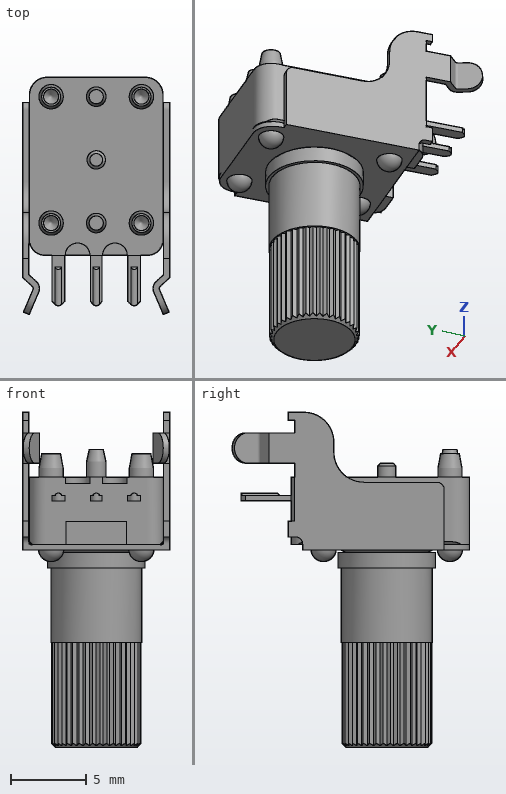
import cadquery as cq
import math


BODY_WIDTH = 8.9
BODY_REAR = 5.5
BODY_FRONT = -6.35
BODY_LENGTH = BODY_REAR - BODY_FRONT
BODY_MID_Y = (BODY_REAR + BODY_FRONT) / 2
BODY_TOP = 4.85
BODY_REAR_CORNER_R = 1.2
BODY_FRONT_CORNER_R = 1.05
BODY_BOTTOM_CHAMFER = 0.2

BRACKET_WIDTH = 9.8
SHEET = 0.43
BASE_THICKNESS = 0.36
BASE_FRONT = -5.6
BASE_REAR_CORNER_R = 1.4
BEND_R = 0.2
WALL_INNER_X = BRACKET_WIDTH / 2 - SHEET
WALL_REAR = 3.82
WALL_FRONT = -6.12
WALL_SHOULDER_Z = 4.51
WALL_CORNER_R = 0.5
NECK_Y = -3.51
NECK_FILLET_R = 2.0
CREST_R = 2.0
BRACKET_TOP = 9.17
LIP_Y = -6.55
TOP_LIP_HEIGHT = 0.55
FOOT_LIP_TOP = 1.92
FOOT_LIP_BOTTOM = 0.87
RELIEF_R = 0.45

LUG_BOTTOM = 5.77
LUG_TOP = 7.8
LUG_BEND_Y = -7.82
LUG_KNEE_X = 4.16
LUG_KNEE_Y = -8.5
LUG_TIP_X = 4.85
LUG_TIP_Y = -10.12
LUG_KNEE_R = 0.2
LUG_END_R = 1.0

WINDOW_WIDTH = 4.0
WINDOW_TOP = 1.9
WINDOW_DEPTH = 1.5
SCALLOP_X = 1.24
SCALLOP_R = 0.82
SCALLOP_DEPTH = 0.42

TERMINAL_PITCH = 2.52
OUTER_TERMINAL_WIDTH = 0.86
MIDDLE_TERMINAL_WIDTH = 0.78
TERMINAL_BOTTOM = 3.28
TERMINAL_THICKNESS = 0.36
TERMINAL_TIP_Y = -9.7
TIP_TAPER_LENGTH = 0.3
TIP_NOSE_LENGTH = 0.1
TIP_NOSE_WIDTH = 0.46
TERMINAL_ROOT = 0.5
RIB_START_Y = -7.13
RIB_R = 0.24
RIB_HEIGHT = 0.15

PEG_X = 3.0
PEG_Y = 4.2
CORNER_PEG_R = 0.81
CORNER_PEG_TIP_R = 0.63
CORNER_PEG_SHANK_TOP = 5.45
CORNER_PEG_TOP = 6.42
SOCKET_R = 0.5
SOCKET_DEPTH = 0.5
CENTER_PEG_R = 0.65
CENTER_PEG_TIP_R = 0.47
CENTER_PEG_SHANK_TOP = 5.88
CENTER_PEG_TOP = 6.69
STUB_R = 0.61
STUB_TOP = 5.79
STUB_CHAMFER = 0.19
RIVET_R = 0.85
RIVET_DROP = 0.77

FLARE_TOP_R = 3.05
FLARE_BOTTOM_R = 2.75
FLARE_BOTTOM = -0.15
COLLAR_R = 3.25
COLLAR_BOTTOM = -1.2
BUSHING_R = 3.03
BUSHING_BOTTOM = -6.13
SHAFT_R = 3.0
SHAFT_BOTTOM = -13.13
SHAFT_CHAMFER = 0.3
TOOTH_COUNT = 40
TOOTH_DEPTH = 0.17


def body_outline(bottom):
    """Rectangle shared by the housing and the rear of the base plate, before rounding."""
    plane = cq.Workplane("XY", origin=(0, BODY_MID_Y, bottom))
    return plane.rect(BODY_WIDTH, BODY_LENGTH)


def block(x0, x1, y0, y1, z0, z1):
    return cq.Workplane("XY").box(x1 - x0, y1 - y0, z1 - z0, centered=False).translate((x0, y0, z0))


def round_post(radius, bottom, top, x=0, y=0):
    return cq.Workplane("XY", origin=(x, y, bottom)).circle(radius).extrude(top - bottom)


def make_body():
    body = body_outline(BASE_THICKNESS).extrude(BODY_TOP - BASE_THICKNESS)
    body = body.edges("|Z and >Y").fillet(BODY_REAR_CORNER_R)
    body = body.edges("|Z and <Y").fillet(BODY_FRONT_CORNER_R)

    half = BODY_WIDTH / 2
    for side in (-1, 1):
        wedge = (
            cq.Workplane("XZ", origin=(0, BODY_REAR, 0))
            .moveTo(side * half, BASE_THICKNESS)
            .lineTo(side * (half - BODY_BOTTOM_CHAMFER), BASE_THICKNESS)
            .lineTo(side * half, BASE_THICKNESS + BODY_BOTTOM_CHAMFER)
            .close()
            .extrude(BODY_LENGTH)
        )
        body = body.cut(wedge)
        scallop = round_post(SCALLOP_R, BODY_TOP - SCALLOP_DEPTH, BODY_TOP, side * SCALLOP_X, BODY_FRONT)
        body = body.cut(scallop)

    window = block(
        -WINDOW_WIDTH / 2, WINDOW_WIDTH / 2,
        BODY_FRONT, BODY_FRONT + WINDOW_DEPTH,
        BASE_THICKNESS, WINDOW_TOP,
    )
    return body.cut(window)


def make_base_plate():
    half = BRACKET_WIDTH / 2
    rear = body_outline(0).extrude(BASE_THICKNESS).edges("|Z").fillet(BASE_REAR_CORNER_R)
    rear = rear.intersect(block(-half, half, BASE_FRONT, BODY_REAR, 0, BASE_THICKNESS))
    return rear.union(block(-half, half, BASE_FRONT, WALL_REAR, 0, BASE_THICKNESS))


def make_wall():
    """Right-hand side wall with its neck, crest and lips."""
    diagonal = math.sqrt(0.5)
    neck_start_y = NECK_Y + NECK_FILLET_R
    neck_end_z = WALL_SHOULDER_Z + NECK_FILLET_R
    crest_start_z = BRACKET_TOP - CREST_R
    crest_end_y = NECK_Y - CREST_R
    neck_middle = (neck_start_y - NECK_FILLET_R * diagonal, neck_end_z - NECK_FILLET_R * diagonal)
    crest_middle = (crest_end_y + CREST_R * diagonal, crest_start_z + CREST_R * diagonal)
    corner_middle = (
        WALL_REAR - WALL_CORNER_R * (1 - diagonal),
        WALL_SHOULDER_Z - WALL_CORNER_R * (1 - diagonal),
    )
    wall = (
        cq.Workplane("YZ", origin=(WALL_INNER_X, 0, 0))
        .moveTo(BASE_FRONT, 0)
        .lineTo(WALL_REAR, 0)
        .lineTo(WALL_REAR, WALL_SHOULDER_Z - WALL_CORNER_R)
        .threePointArc(corner_middle, (WALL_REAR - WALL_CORNER_R, WALL_SHOULDER_Z))
        .lineTo(neck_start_y, WALL_SHOULDER_Z)
        .threePointArc(neck_middle, (NECK_Y, neck_end_z))
        .lineTo(NECK_Y, crest_start_z)
        .threePointArc(crest_middle, (crest_end_y, BRACKET_TOP))
        .lineTo(LIP_Y, BRACKET_TOP)
        .lineTo(LIP_Y, BRACKET_TOP - TOP_LIP_HEIGHT)
        .lineTo(WALL_FRONT, BRACKET_TOP - TOP_LIP_HEIGHT)
        .lineTo(WALL_FRONT, FOOT_LIP_TOP)
        .lineTo(LIP_Y, FOOT_LIP_TOP)
        .lineTo(LIP_Y, FOOT_LIP_BOTTOM)
        .lineTo(BASE_FRONT - RELIEF_R, FOOT_LIP_BOTTOM)
        .threePointArc(
            (BASE_FRONT - RELIEF_R * (1 - diagonal), FOOT_LIP_BOTTOM - RELIEF_R * (1 - diagonal)),
            (BASE_FRONT, FOOT_LIP_BOTTOM - RELIEF_R),
        )
        .close()
        .extrude(SHEET)
    )
    bend = (
        cq.Workplane("XZ", origin=(0, WALL_REAR, 0))
        .moveTo(WALL_INNER_X, BASE_THICKNESS)
        .lineTo(WALL_INNER_X - BEND_R, BASE_THICKNESS)
        .threePointArc(
            (WALL_INNER_X - BEND_R * (1 - diagonal), BASE_THICKNESS + BEND_R * (1 - diagonal)),
            (WALL_INNER_X, BASE_THICKNESS + BEND_R),
        )
        .close()
        .extrude(WALL_REAR - BASE_FRONT)
    )
    return wall.union(bend)


def make_lug():
    """Right-hand solder lug: a strip kinked inwards and back out, with a round end."""
    outer_x = BRACKET_WIDTH / 2
    in_angle = math.atan2(outer_x - LUG_KNEE_X, LUG_BEND_Y - LUG_KNEE_Y)
    out_angle = math.atan2(LUG_TIP_X - LUG_KNEE_X, LUG_KNEE_Y - LUG_TIP_Y)
    bend_shift = SHEET * math.tan(in_angle / 2)
    miter = SHEET / math.cos((in_angle + out_angle) / 2)
    miter_turn = (in_angle - out_angle) / 2
    inner_knee = (LUG_KNEE_X - miter * math.cos(miter_turn), LUG_KNEE_Y + miter * math.sin(miter_turn))
    inner_tip = (LUG_TIP_X - SHEET * math.cos(out_angle), LUG_TIP_Y - SHEET * math.sin(out_angle))

    strip = (
        cq.Workplane("XY", origin=(0, 0, LUG_BOTTOM))
        .moveTo(outer_x, WALL_FRONT)
        .lineTo(outer_x, LUG_BEND_Y)
        .lineTo(LUG_KNEE_X, LUG_KNEE_Y)
        .lineTo(LUG_TIP_X, LUG_TIP_Y)
        .lineTo(*inner_tip)
        .lineTo(*inner_knee)
        .lineTo(WALL_INNER_X, LUG_BEND_Y + bend_shift)
        .lineTo(WALL_INNER_X, WALL_FRONT)
        .close()
        .extrude(LUG_TOP - LUG_BOTTOM)
    )
    middle_z = (LUG_BOTTOM + LUG_TOP) / 2
    outer_edge = cq.selectors.NearestToPointSelector((LUG_KNEE_X, LUG_KNEE_Y, middle_z))
    inner_edge = cq.selectors.NearestToPointSelector((*inner_knee, middle_z))
    strip = strip.edges(outer_edge).fillet(LUG_KNEE_R)
    strip = strip.edges(inner_edge).fillet(LUG_KNEE_R + SHEET)

    tip_face_x = (LUG_TIP_X + inner_tip[0]) / 2
    tip_face_y = (LUG_TIP_Y + inner_tip[1]) / 2
    lower_edge = cq.selectors.NearestToPointSelector((tip_face_x, tip_face_y, LUG_BOTTOM))
    upper_edge = cq.selectors.NearestToPointSelector((tip_face_x, tip_face_y, LUG_TOP))
    return strip.edges(lower_edge + upper_edge).fillet(LUG_END_R)


def make_bracket():
    side = make_wall().union(make_lug())
    return make_base_plate().union(side).union(side.mirror("YZ"))


def make_terminal(x, width):
    root_y = BODY_FRONT + TERMINAL_ROOT
    top = TERMINAL_BOTTOM + TERMINAL_THICKNESS
    half = width / 2
    half_nose = TIP_NOSE_WIDTH / 2
    taper_y = TERMINAL_TIP_Y + TIP_TAPER_LENGTH
    nose_y = TERMINAL_TIP_Y + TIP_NOSE_LENGTH
    blade = (
        cq.Workplane("XY", origin=(x, 0, TERMINAL_BOTTOM))
        .moveTo(-half, root_y)
        .lineTo(-half, taper_y)
        .lineTo(-half_nose, nose_y)
        .threePointArc((0, TERMINAL_TIP_Y), (half_nose, nose_y))
        .lineTo(half, taper_y)
        .lineTo(half, root_y)
        .close()
        .extrude(TERMINAL_THICKNESS + RIB_HEIGHT)
    )
    rib_top = top + RIB_HEIGHT
    keep = block(x - half, x + half, TERMINAL_TIP_Y, root_y, TERMINAL_BOTTOM, top)
    rib = (
        cq.Workplane("XZ", origin=(x, RIB_START_Y, rib_top - RIB_R))
        .circle(RIB_R)
        .extrude(RIB_START_Y - TERMINAL_TIP_Y)
    )
    ramp = (
        cq.Workplane("YZ", origin=(x - half, 0, 0))
        .moveTo(RIB_START_Y, top)
        .lineTo(RIB_START_Y, rib_top)
        .lineTo(RIB_START_Y - RIB_HEIGHT, rib_top)
        .close()
        .extrude(width)
    )
    return blade.intersect(keep.union(rib.cut(ramp)))


def make_peg(x, y, radius, tip_radius, shank_top, top):
    return (
        cq.Workplane("XZ", origin=(x, y, 0))
        .moveTo(0, BODY_TOP)
        .lineTo(radius, BODY_TOP)
        .lineTo(radius, shank_top)
        .lineTo(tip_radius, top)
        .lineTo(0, top)
        .close()
        .revolve(360, (0, 0), (0, 1))
    )


def make_corner_peg(x, y):
    peg = make_peg(x, y, CORNER_PEG_R, CORNER_PEG_TIP_R, CORNER_PEG_SHANK_TOP, CORNER_PEG_TOP)
    socket = (
        cq.Workplane("XZ", origin=(x, y, 0))
        .moveTo(0, CORNER_PEG_TOP)
        .lineTo(SOCKET_R, CORNER_PEG_TOP)
        .lineTo(0, CORNER_PEG_TOP - SOCKET_DEPTH)
        .close()
        .revolve(360, (0, 0), (0, 1))
    )
    return peg.cut(socket)


def make_rivet(x, y):
    head = cq.Workplane("XY").sphere(RIVET_R).translate((x, y, RIVET_R - RIVET_DROP))
    return head.intersect(round_post(RIVET_R, -RIVET_DROP, BASE_THICKNESS, x, y))


def make_bushing():
    flare = (
        cq.Workplane("XY")
        .circle(FLARE_TOP_R)
        .workplane(offset=FLARE_BOTTOM)
        .circle(FLARE_BOTTOM_R)
        .loft(ruled=True)
    )
    collar = round_post(COLLAR_R, COLLAR_BOTTOM, FLARE_BOTTOM)
    barrel = round_post(BUSHING_R, BUSHING_BOTTOM, COLLAR_BOTTOM)
    return flare.union(collar).union(barrel)


def make_shaft():
    """Shaft with V-shaped serrations and a chamfered end."""
    root_r = SHAFT_R - TOOTH_DEPTH
    half_pitch = math.pi / TOOTH_COUNT
    points = []
    for tooth in range(TOOTH_COUNT):
        angle = 2 * half_pitch * tooth
        points.append((root_r * math.cos(angle), root_r * math.sin(angle)))
        points.append((SHAFT_R * math.cos(angle + half_pitch), SHAFT_R * math.sin(angle + half_pitch)))
    length = BUSHING_BOTTOM - SHAFT_BOTTOM
    serrated = cq.Workplane("XY", origin=(0, 0, SHAFT_BOTTOM)).polyline(points).close().extrude(length)
    envelope = round_post(SHAFT_R, SHAFT_BOTTOM, BUSHING_BOTTOM).faces("<Z").chamfer(SHAFT_CHAMFER)
    return serrated.intersect(envelope)


result = make_body().union(make_bracket()).union(make_bushing()).union(make_shaft())

for column in (-1, 0, 1):
    terminal_width = OUTER_TERMINAL_WIDTH if column else MIDDLE_TERMINAL_WIDTH
    result = result.union(make_terminal(column * TERMINAL_PITCH, terminal_width))

for peg_y in (-PEG_Y, PEG_Y):
    center_peg = make_peg(0, peg_y, CENTER_PEG_R, CENTER_PEG_TIP_R, CENTER_PEG_SHANK_TOP, CENTER_PEG_TOP)
    result = result.union(center_peg)
    for peg_x in (-PEG_X, PEG_X):
        result = result.union(make_corner_peg(peg_x, peg_y))
        result = result.union(make_rivet(peg_x, peg_y))

stub = round_post(STUB_R, BODY_TOP, STUB_TOP).faces(">Z").chamfer(STUB_CHAMFER)
result = result.union(stub)